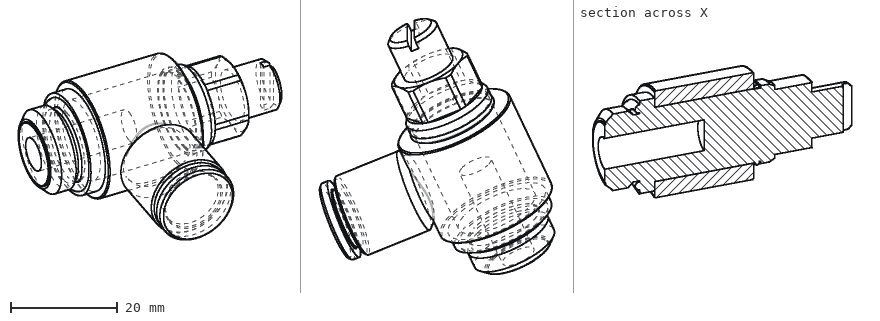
import cadquery as cq
import math


ring_radius = 11.5
ring_start = 10.0
ring_end = 30.0
ring_chamfer = 0.25
bore_radius = 7.9

elbow_y = (ring_start + ring_end) / 2
elbow_radius = 8.0
elbow_neck_radius = 6.5
elbow_cone_end = 12.5
elbow_cone_start = elbow_cone_end - (elbow_radius - elbow_neck_radius)
elbow_end = 25.5
elbow_chamfer = 0.4
elbow_fillet = 0.25
collet_neck_radius = 5.8
collet_step_radius = 6.0
collet_step_width = 0.25
collet_radius = 7.75
collet_start = 26.8
collet_end = 28.65
collet_chamfer = 0.5

nose_base_radius = 6.3
nose_height = 0.2
nose_tip_radius = nose_base_radius - nose_height
thread_radius = 8.25
thread_chamfer = 1.5
thread_end = 4.75
neck_radius = 7.25
neck_start = thread_end + (thread_radius - neck_radius)
flange_radius = 10.0
flange_start = 7.0
port_radius = 3.25
port_depth = elbow_y

seal_radius = 8.25
seal_tube_radius = 0.9

snap_radius = 8.05
snap_tube_radius = 0.5
snap_y = 30.65
snap_gap = 0.4

bevel_angle = math.radians(30)
collar_radius = 8.4
collar_start = 31.35
hex_start = 34.25
hex_end = 41.7
hex_across_flats = 14.0
hex_corner_radius = 7.75
collar_bevel = (collar_radius - hex_corner_radius) / math.tan(bevel_angle)
hex_bevel = (hex_corner_radius - hex_across_flats / 2) * math.tan(bevel_angle)
total_length = 50.0
screw_radius = 5.0
screw_chamfer = 0.8
slot_width = 1.5
slot_depth = 2.0


def turned_y(points):
    """Solid turned about the Y axis from (radius, y) points."""
    return cq.Workplane("XY").polyline(points).close().revolve(360, (0, 0), (0, 1))


def turned_elbow(points):
    """Solid turned about the elbow axis from (x, radius) points."""
    profile = cq.Workplane("XY", origin=(0, elbow_y, 0)).polyline(points).close()
    return profile.revolve(360, (0, 0), (1, 0))


def rod_y(radius, start, end):
    """Cylinder on the Y axis between two Y positions."""
    return cq.Workplane("XZ", origin=(0, start, 0)).circle(radius).extrude(start - end)


def torus_y(radius, tube_radius, y):
    """Torus around the Y axis."""
    tube = cq.Workplane("XY").center(radius, y).circle(tube_radius)
    return tube.revolve(360, (-radius, 0), (-radius, 1))


def make_swivel_ring():
    ring = rod_y(ring_radius, ring_start, ring_end)
    return ring.faces("<Y or >Y").chamfer(ring_chamfer)


def make_filleted_neck():
    """Ring and elbow neck with a small fillet along their seam, trimmed where the cone starts."""
    neck = cq.Workplane("YZ").center(elbow_y, 0).circle(elbow_neck_radius).extrude(elbow_cone_end)
    seam_box = cq.selectors.BoxSelector(
        (bore_radius, elbow_y - elbow_radius, -elbow_radius),
        (elbow_cone_end - elbow_fillet, elbow_y + elbow_radius, elbow_radius),
    )
    filleted = make_swivel_ring().union(neck).edges(seam_box).fillet(elbow_fillet)
    beyond_cone_start = (
        cq.Workplane("YZ", origin=(elbow_cone_start, elbow_y, 0))
        .circle(ring_radius)
        .extrude(elbow_cone_end)
    )
    return filleted.cut(beyond_cone_start)


def make_tube_connector():
    return turned_elbow([
        (elbow_cone_start, 0),
        (elbow_cone_start, elbow_neck_radius),
        (elbow_cone_end, elbow_radius),
        (elbow_end - elbow_chamfer, elbow_radius),
        (elbow_end, elbow_radius - elbow_chamfer),
        (elbow_end, collet_neck_radius),
        (collet_start - collet_step_width, collet_neck_radius),
        (collet_start, collet_step_radius),
        (collet_start, collet_radius),
        (collet_end - collet_chamfer, collet_radius),
        (collet_end, collet_radius - collet_chamfer),
        (collet_end, 0),
    ])


def make_swivel_body():
    body = make_swivel_ring().union(make_tube_connector()).union(make_filleted_neck())
    return body.cut(rod_y(bore_radius, ring_start, ring_end))


def make_hexagon():
    """Hexagon with flats facing +Z and -Z, rounded corners and a bevelled outer end."""
    across_corners = hex_across_flats / math.cos(math.pi / 6)
    prism = (
        cq.Workplane("XZ", origin=(0, hex_start, 0))
        .polygon(6, across_corners)
        .extrude(hex_start - hex_end)
    )
    envelope = turned_y([
        (0, hex_start),
        (hex_corner_radius, hex_start),
        (hex_corner_radius, hex_end - hex_bevel),
        (hex_across_flats / 2, hex_end),
        (0, hex_end),
    ])
    return prism.intersect(envelope)


def make_screw():
    """Screw end with a driver slot running along Z."""
    screw = rod_y(screw_radius, hex_end, total_length).faces(">Y").chamfer(screw_chamfer)
    slot = cq.Workplane("XY").box(slot_width, 2 * slot_depth, 3 * screw_radius)
    return screw.cut(slot.translate((0, total_length, 0)))


def make_snap_ring():
    """Snap ring with its gap at +Z."""
    gap = cq.Workplane("XY").box(snap_gap, 4 * snap_tube_radius, 4 * snap_tube_radius)
    ring = torus_y(snap_radius, snap_tube_radius, snap_y)
    return ring.cut(gap.translate((0, snap_y, snap_radius)))


def make_stem():
    stem = turned_y([
        (0, 0),
        (nose_tip_radius, 0),
        (nose_base_radius, nose_height),
        (thread_radius - thread_chamfer, nose_height),
        (thread_radius, nose_height + thread_chamfer),
        (thread_radius, thread_end),
        (neck_radius, neck_start),
        (neck_radius, flange_start),
        (flange_radius, flange_start),
        (flange_radius, ring_start),
        (bore_radius, ring_start),
        (bore_radius, collar_start),
        (collar_radius, collar_start),
        (collar_radius, hex_start - collar_bevel),
        (hex_corner_radius, hex_start),
        (0, hex_start),
    ])
    stem = stem.union(make_hexagon()).union(make_screw())
    stem = stem.union(torus_y(seal_radius, seal_tube_radius, flange_start))
    stem = stem.union(make_snap_ring())
    return stem.cut(rod_y(port_radius, 0, port_depth))


swivel_body = make_swivel_body()
stem = make_stem()

result = cq.Compound.makeCompound([swivel_body.solids().val(), stem.solids().val()])